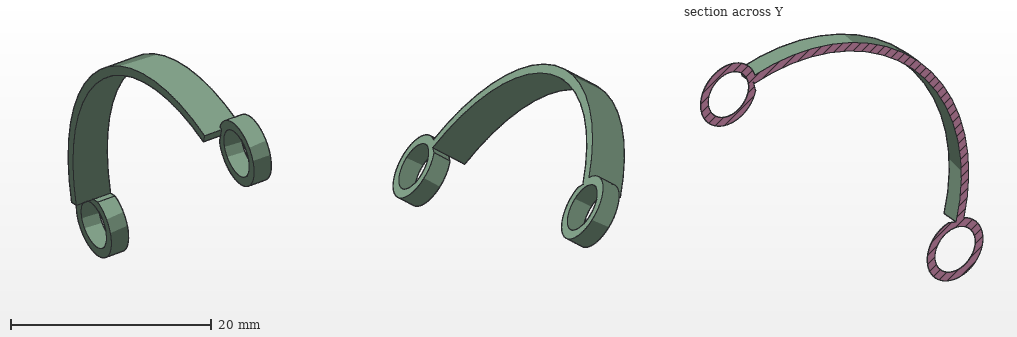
import cadquery as cq
import math

overall_size = 35.28
ring_outer_radius = 3.5
wall = 1.0
ring_depth = 2.0
band_depth = 4.0
band_outer_radius = 21.65
band_inset = 1.75
band_overrun = 14.5

ring_inner_radius = ring_outer_radius - wall
ring_offset = overall_size / 2 - ring_outer_radius
back_face = band_depth / 2
band_center_x = -overall_size / 2 + band_inset + band_outer_radius
band_center_z = -band_center_x
band_inner_radius = band_outer_radius - wall
band_start = 90 - band_overrun
band_middle = 135
band_end = 180 + band_overrun


def back_plane():
    """XZ sketch plane on the back face; positive extrusion runs toward -Y."""
    return cq.Workplane("XZ", origin=(0, back_face, 0))


def band_point(radius, angle):
    """Point on an arc about the band center, with the angle in degrees."""
    turn = math.radians(angle)
    return (band_center_x + radius * math.cos(turn), band_center_z + radius * math.sin(turn))


def make_band():
    """Curved strip with radial ends."""
    return (
        back_plane()
        .moveTo(*band_point(band_outer_radius, band_start))
        .threePointArc(
            band_point(band_outer_radius, band_middle),
            band_point(band_outer_radius, band_end),
        )
        .lineTo(*band_point(band_inner_radius, band_end))
        .threePointArc(
            band_point(band_inner_radius, band_middle),
            band_point(band_inner_radius, band_start),
        )
        .close()
        .extrude(band_depth)
    )


def make_rings():
    """Eyelet rings at the two ends of the band."""
    centers = [(-ring_offset, -ring_offset), (ring_offset, ring_offset)]
    return (
        back_plane()
        .pushPoints(centers)
        .circle(ring_outer_radius)
        .circle(ring_inner_radius)
        .extrude(ring_depth)
    )


def make_clearance():
    """Sector inside the band, where radial flats trim the rings."""
    return (
        back_plane()
        .moveTo(band_center_x, band_center_z)
        .lineTo(*band_point(band_inner_radius, band_start))
        .threePointArc(
            band_point(band_inner_radius, band_middle),
            band_point(band_inner_radius, band_end),
        )
        .close()
        .extrude(band_depth)
    )


trimmed_rings = make_rings().cut(make_clearance())
result = make_band().union(trimmed_rings)